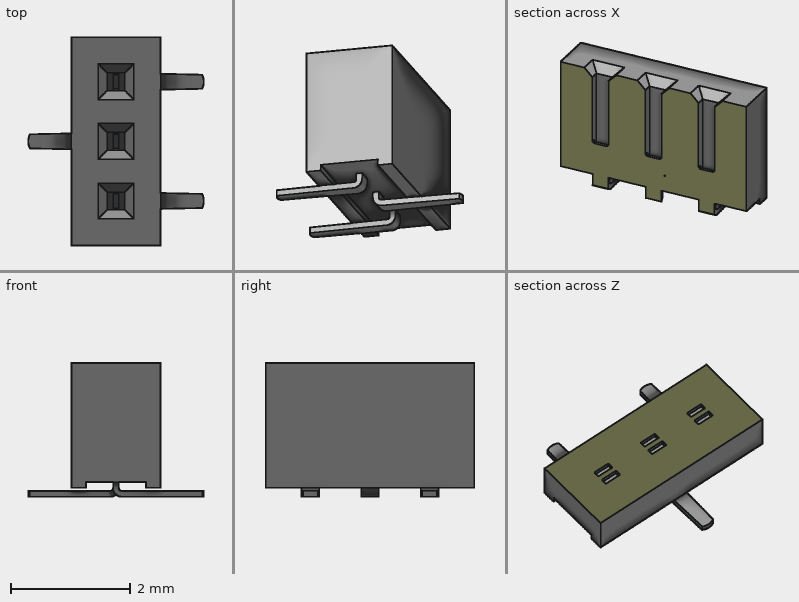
import cadquery as cq

BODY_WIDTH = 1.5
BODY_LENGTH = 3.5
BODY_BOTTOM = 0.15
BODY_TOP = 2.25
CHANNEL_WIDTH = 1.0
CHANNEL_DEPTH = 0.1

PITCH = 1.0
LEAD_IN_WIDTH = 0.6
SOCKET_WIDTH = 0.3
LEAD_IN_DEPTH = (LEAD_IN_WIDTH - SOCKET_WIDTH) / 2
SOCKET_FLOOR = 0.75

STRIP_THICKNESS = 0.1
STRIP_WIDTH = SOCKET_WIDTH
BEND_INNER_RADIUS = 0.05
BEND_OUTER_RADIUS = BEND_INNER_RADIUS + STRIP_THICKNESS
BEND_CENTER_X = STRIP_THICKNESS / 2 + BEND_INNER_RADIUS
LEG_SPAN = 2.95
LEG_REACH = LEG_SPAN / 2
LEG_TIP_WIDTH = 0.24
LEG_TIP_BULGE = 0.03

HEAD_HEIGHT = 0.1
HEAD_TOP = SOCKET_FLOOR + HEAD_HEIGHT
SHOULDER_SIZE = 0.03

CONTACTS = [(-PITCH, 1), (0, -1), (PITCH, 1)]


def make_housing():
    """Block with a groove along its underside."""
    body_height = BODY_TOP - BODY_BOTTOM
    block = (
        cq.Workplane("XY")
        .workplane(offset=BODY_BOTTOM)
        .rect(BODY_WIDTH, BODY_LENGTH)
        .extrude(body_height)
    )
    channel = (
        cq.Workplane("XY")
        .workplane(offset=BODY_BOTTOM)
        .rect(CHANNEL_WIDTH, BODY_LENGTH)
        .extrude(CHANNEL_DEPTH)
    )
    return block.cut(channel)


def make_socket(y):
    """Square blind hole with a funnel-shaped mouth, as a cutting solid."""
    hole = (
        cq.Workplane("XY")
        .workplane(offset=SOCKET_FLOOR)
        .center(0, y)
        .rect(SOCKET_WIDTH, SOCKET_WIDTH)
        .extrude(BODY_TOP - SOCKET_FLOOR)
    )
    funnel = (
        cq.Workplane("XY")
        .workplane(offset=BODY_TOP)
        .center(0, y)
        .rect(LEAD_IN_WIDTH, LEAD_IN_WIDTH)
        .workplane(offset=-LEAD_IN_DEPTH)
        .rect(SOCKET_WIDTH, SOCKET_WIDTH)
        .loft(ruled=True)
    )
    return hole.union(funnel)


def make_stem():
    """Upright strip from the top of the head down through the bend, ending at the leg."""
    half = STRIP_THICKNESS / 2
    return (
        cq.Workplane("XZ")
        .moveTo(-half, HEAD_TOP)
        .lineTo(-half, BEND_OUTER_RADIUS)
        .radiusArc((BEND_CENTER_X, 0), -BEND_OUTER_RADIUS)
        .lineTo(BEND_CENTER_X, STRIP_THICKNESS)
        .radiusArc((half, BEND_OUTER_RADIUS), BEND_INNER_RADIUS)
        .lineTo(half, HEAD_TOP)
        .close()
        .extrude(STRIP_WIDTH / 2, both=True)
    )


def make_leg():
    """Flat tapered leg with a rounded tip."""
    tip_start = LEG_REACH - LEG_TIP_BULGE
    root_half = STRIP_WIDTH / 2
    tip_half = LEG_TIP_WIDTH / 2
    return (
        cq.Workplane("XY")
        .moveTo(BEND_CENTER_X, -root_half)
        .lineTo(tip_start, -tip_half)
        .threePointArc((LEG_REACH, 0), (tip_start, tip_half))
        .lineTo(BEND_CENTER_X, root_half)
        .close()
        .extrude(STRIP_THICKNESS)
    )


def make_shoulders():
    """Pair of wedges facing each other along Y on top of the head."""
    wall = SOCKET_WIDTH / 2
    wedge = (
        cq.Workplane("YZ")
        .moveTo(wall, HEAD_TOP)
        .lineTo(wall - SHOULDER_SIZE, HEAD_TOP)
        .lineTo(wall, HEAD_TOP + SHOULDER_SIZE)
        .close()
        .extrude(STRIP_THICKNESS / 2, both=True)
    )
    return wedge.union(wedge.mirror("XZ"))


def make_contact(y, direction):
    """Complete contact; direction +1 points its leg to +X, -1 to -X."""
    contact = make_stem().union(make_leg()).union(make_shoulders())
    if direction < 0:
        contact = contact.mirror("YZ")
    return contact.translate((0, y, 0))


result = make_housing()
for contact_y, leg_direction in CONTACTS:
    result = result.cut(make_socket(contact_y))
    result = result.union(make_contact(contact_y, leg_direction))